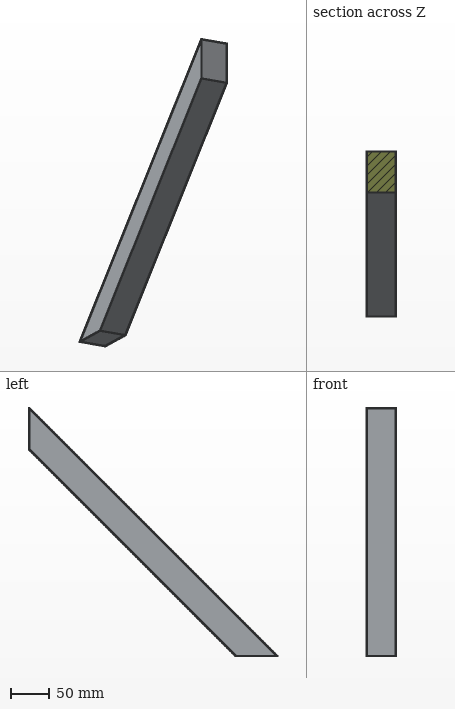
import cadquery as cq
import math

bar_size = 38.1
long_edge = 457.2
brace_angle = math.radians(45)

run = long_edge * math.cos(brace_angle)
rise = long_edge * math.sin(brace_angle)

foot_length = bar_size / math.sin(brace_angle)
head_length = bar_size / math.cos(brace_angle)


def make_brace():
    """Extrude the mitred YZ outline symmetrically about X = 0."""
    outline = [
        (0, 0),
        (foot_length, 0),
        (run, rise - head_length),
        (run, rise),
    ]
    return cq.Workplane("YZ").polyline(outline).close().extrude(bar_size / 2, both=True)


result = make_brace()